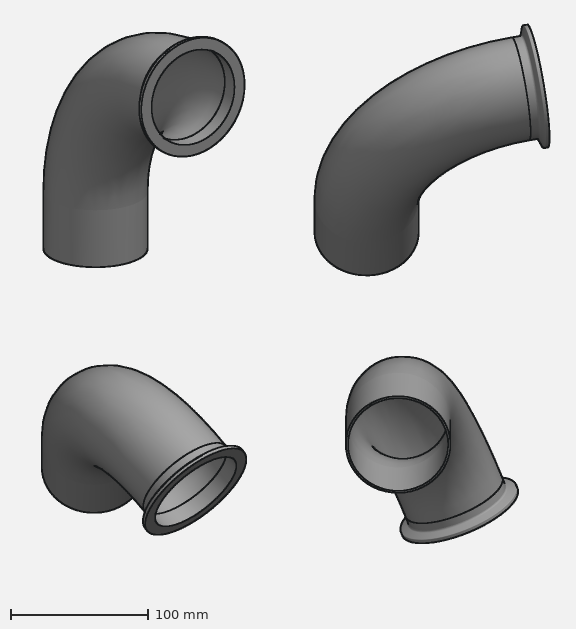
import cadquery as cq
import math

tube_diameter = 76.2
bore_diameter = 73.0
bend_radius = 114.2
leg_length = 44.5

ferrule_length = 12.7
flange_diameter = 91.0
rim_thickness = 3.0
cone_angle = 20
neck_fillet = 1.5
rim_fillet = 0.6

tube_radius = tube_diameter / 2
bore_radius = bore_diameter / 2
flange_radius = flange_diameter / 2
ferrule_axis_z = leg_length + bend_radius


def make_elbow():
    """Hollow tube: a vertical leg, then a quarter bend towards +X."""
    section = cq.Workplane("XY").circle(tube_radius).circle(bore_radius)
    leg = section.extrude(leg_length)
    bend = (
        cq.Workplane("XY", origin=(0, 0, leg_length))
        .circle(tube_radius)
        .circle(bore_radius)
        .revolve(90, (bend_radius, 0, 0), (bend_radius, 1, 0))
    )
    return leg.union(bend)


def make_ferrule():
    """Short neck that flares into a clamp flange, turned about X."""
    cone_length = (flange_radius - tube_radius) * math.tan(math.radians(cone_angle))
    rim_start = ferrule_length - rim_thickness
    neck_length = rim_start - cone_length
    blank = (
        cq.Workplane("XY")
        .moveTo(0, bore_radius)
        .lineTo(0, tube_radius)
        .lineTo(neck_length, tube_radius)
        .lineTo(rim_start, flange_radius)
        .lineTo(ferrule_length, flange_radius)
        .lineTo(ferrule_length, bore_radius)
        .close()
        .revolve(360, (0, 0, 0), (1, 0, 0))
    )

    def circle_at(x, radius):
        """Selector for the edge of this radius at this distance along the axis."""
        margin = 0.02
        reach = radius + margin
        return cq.selectors.BoxSelector(
            (x - margin, -reach, -reach),
            (x + margin, reach, reach),
            boundingbox=True,
        )

    rounded = blank.edges(circle_at(neck_length, tube_radius)).fillet(neck_fillet)
    rounded = rounded.edges(circle_at(rim_start, flange_radius)).fillet(rim_fillet)
    return rounded.translate((bend_radius, 0, ferrule_axis_z))


elbow = make_elbow()
ferrule = make_ferrule()

result = cq.Compound.makeCompound([elbow.val(), ferrule.val()])